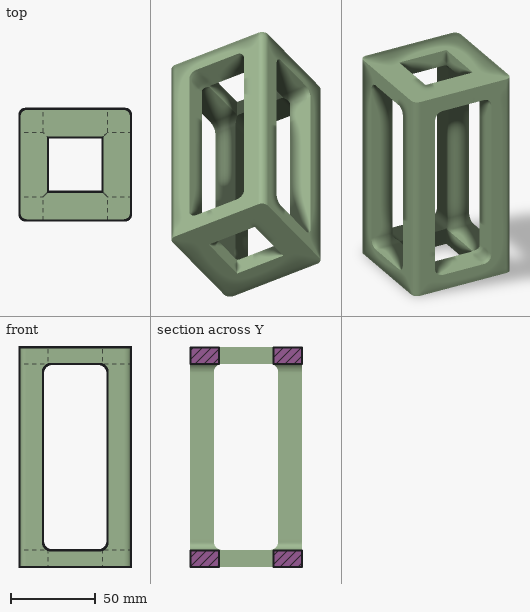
import cadquery as cq

side = 66.0
height = 130.0
corner_radius = 4.0

shaft_side = 32.0

window_width = 38.0
window_height = 110.0
window_radius = 5.0


def window_cutter(plane):
    """Rounded window running through the whole block, normal to the plane."""
    return (
        cq.Workplane(plane)
        .rect(window_width, window_height)
        .extrude(side, both=True)
        .edges("|Y" if plane == "XZ" else "|X")
        .fillet(window_radius)
    )


frame = cq.Workplane("XY").box(side, side, height).edges("|Z").fillet(corner_radius)

shaft = cq.Workplane("XY").box(shaft_side, shaft_side, height)
frame = frame.cut(shaft)

for wall_plane in ("XZ", "YZ"):
    frame = frame.cut(window_cutter(wall_plane))

result = frame